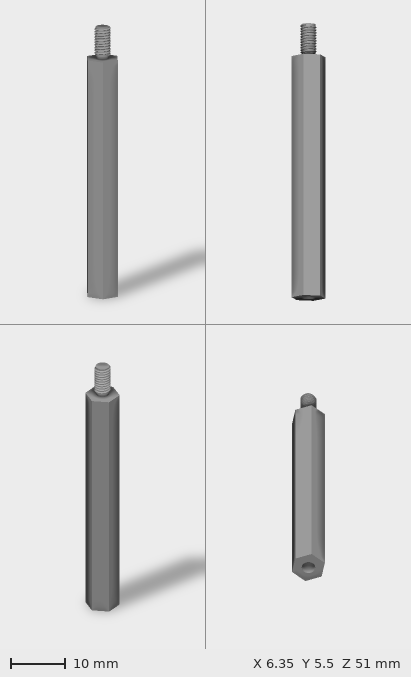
import cadquery as cq
import math

total_height = 51.0
body_height = 45.0
across_flats = 5.5
stud_height = total_height - body_height

neck_diameter = 2.2
neck_height = 0.5
core_diameter = 2.5
thread_diameter = 3.0
thread_pitch = 0.5
crest_width = 0.075
root_width = 0.38
root_overlap = 0.05
end_clearance = 0.025

bore_diameter = core_diameter
bore_depth = stud_height


def make_body():
    """Hexagonal bar with its corners on the X axis and a blind bore below."""
    across_corners = across_flats / math.cos(math.pi / 6)
    body = cq.Workplane("XY").polygon(6, across_corners).extrude(body_height)
    bore = cq.Workplane("XY").circle(bore_diameter / 2).extrude(bore_depth)
    return body.cut(bore)


def make_stud():
    """Plain neck and the wider core that carries the thread."""
    return (
        cq.Workplane("XY")
        .workplane(offset=body_height)
        .circle(neck_diameter / 2)
        .extrude(neck_height)
        .faces(">Z")
        .workplane()
        .circle(core_diameter / 2)
        .extrude(stud_height - neck_height)
    )


def make_thread():
    """Right-hand helical ridge with a trapezoidal section, sunk slightly into the core."""
    crest_radius = thread_diameter / 2
    inner_radius = core_diameter / 2 - root_overlap
    end_margin = root_width / 2 + end_clearance
    helix_start = body_height + neck_height + end_margin
    helix_height = total_height - end_margin - helix_start
    path = cq.Wire.makeHelix(
        thread_pitch, helix_height, inner_radius, center=cq.Vector(0, 0, helix_start)
    )
    return (
        cq.Workplane("XZ")
        .polyline([
            (inner_radius, helix_start - root_width / 2),
            (crest_radius, helix_start - crest_width / 2),
            (crest_radius, helix_start + crest_width / 2),
            (inner_radius, helix_start + root_width / 2),
        ])
        .close()
        .sweep(cq.Workplane(path), isFrenet=True)
    )


result = make_body().union(make_stud()).union(make_thread())